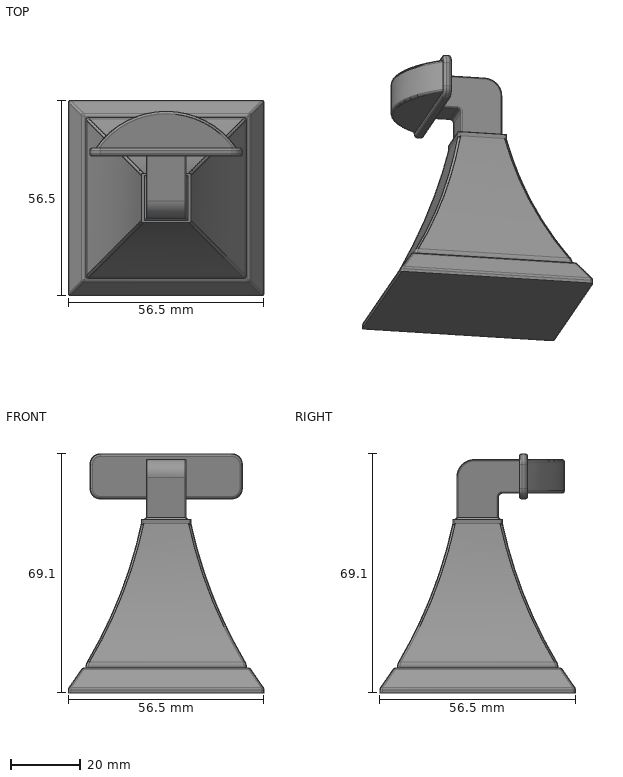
import cadquery as cq
import math

base_width = 56.49
base_corner_z = 1.3
plinth_top_half = 24.1
plinth_top_z = 7.3
band_half = 23.2
band_top_z = 8.28
collar_half = 7.15
collar_bottom_z = 49.0
collar_top_z = 50.2
flare_sagitta = 1.8
foot_round = 1.4
plinth_round = 1.2
band_round = 2.9
pedestal_edge_round = 0.7
collar_edge_round = 0.4

overall_height = 69.13
plate_width = 44.0
plate_height = 13.0
plate_front_y = 12.1
plate_thickness = 2.3
plate_corner_radius = 3.0
plate_edge_round = 0.7

arm_width = 11.5
arm_depth = 12.0
arm_height = 9.7
bend_outer_radius = 5.1
bend_inner_radius = 1.2
arm_edge_round = 0.4
neck_foot = 0.5
pad_half_width = 20.3
pad_depth = 10.65
pad_edge_round = 0.7

selection_margin = 0.01

base_half = base_width / 2
plate_center_z = overall_height - plate_height / 2
plate_back_y = plate_front_y + plate_thickness
arm_bottom_z = plate_center_z - arm_height / 2
arm_top_z = plate_center_z + arm_height / 2


def flare_midpoint():
    """Middle of the concave arc between the band and the collar."""
    run = band_half - collar_half
    rise = collar_bottom_z - band_top_z
    chord = math.hypot(run, rise)
    x = (band_half + collar_half) / 2 - flare_sagitta * rise / chord
    z = (band_top_z + collar_bottom_z) / 2 - flare_sagitta * run / chord
    return x, z


def pedestal_silhouette(plane):
    """Symmetric pedestal outline extruded through the full base width."""
    mid_x, mid_z = flare_midpoint()
    outline = (
        cq.Workplane(plane)
        .moveTo(base_half, 0)
        .lineTo(base_half, base_corner_z)
        .lineTo(plinth_top_half, plinth_top_z)
        .lineTo(band_half, plinth_top_z)
        .lineTo(band_half, band_top_z)
        .threePointArc((mid_x, mid_z), (collar_half, collar_bottom_z))
        .lineTo(collar_half, collar_top_z)
        .lineTo(-collar_half, collar_top_z)
        .lineTo(-collar_half, collar_bottom_z)
        .threePointArc((-mid_x, mid_z), (-band_half, band_top_z))
        .lineTo(-band_half, plinth_top_z)
        .lineTo(-plinth_top_half, plinth_top_z)
        .lineTo(-base_half, base_corner_z)
        .lineTo(-base_half, 0)
        .close()
    )
    return outline.extrude(base_half, both=True)


def edges_within(half, bottom_z, top_z):
    """Selector for edges lying wholly inside a centred square block."""
    reach = half + selection_margin
    low_corner = (-reach, -reach, bottom_z - selection_margin)
    high_corner = (reach, reach, top_z + selection_margin)
    return cq.selectors.BoxSelector(low_corner, high_corner, boundingbox=True)


def square_rim(half, z):
    """Selector for the four straight edges of a square rim at one height."""
    return edges_within(half, z, z)


def corner_edges(bottom_z, top_z):
    """Selector for the corner edges that climb between two heights."""
    horizontal = cq.selectors.PerpendicularDirSelector(cq.Vector(0, 0, 1))
    return edges_within(base_half, bottom_z, top_z) - horizontal


def make_pedestal():
    body = pedestal_silhouette("XZ").intersect(pedestal_silhouette("YZ"))
    plinth_rim = square_rim(plinth_top_half, plinth_top_z) - square_rim(band_half, plinth_top_z)
    body = body.edges(square_rim(base_half, base_corner_z)).fillet(foot_round)
    body = body.edges(plinth_rim).fillet(plinth_round)
    body = body.edges(square_rim(band_half, band_top_z)).fillet(band_round)
    body = body.edges(corner_edges(collar_bottom_z, collar_top_z)).fillet(collar_edge_round)
    body = body.edges(corner_edges(0, plinth_top_z)).fillet(pedestal_edge_round)
    return body.edges(corner_edges(plinth_top_z, collar_bottom_z)).fillet(pedestal_edge_round)


def make_arm():
    """Neck rising from the collar and bending back into the plate."""
    half_depth = arm_depth / 2
    outline = (
        cq.Workplane("YZ")
        .moveTo(-half_depth, collar_top_z)
        .lineTo(-half_depth, arm_top_z)
        .lineTo(plate_back_y, arm_top_z)
        .lineTo(plate_back_y, arm_bottom_z)
        .lineTo(half_depth, arm_bottom_z)
        .lineTo(half_depth, collar_top_z)
        .close()
    )
    arm = outline.extrude(arm_width / 2, both=True)
    arm = arm.edges(cq.NearestToPointSelector((0, -half_depth, arm_top_z))).fillet(bend_outer_radius)
    arm = arm.edges(cq.NearestToPointSelector((0, half_depth, arm_bottom_z))).fillet(bend_inner_radius)
    return arm.edges("not (|X or <Z or >Y)").fillet(arm_edge_round)


def make_neck_foot():
    """Small sloped skirt where the neck lands on the collar."""
    return (
        cq.Workplane("XY", origin=(0, 0, collar_top_z))
        .rect(arm_width + 2 * neck_foot, arm_depth + 2 * neck_foot)
        .workplane(offset=neck_foot)
        .rect(arm_width, arm_depth)
        .loft(ruled=True)
        .edges("not #Z")
        .fillet(arm_edge_round)
    )


def make_plate():
    plate = (
        cq.Workplane("XZ", origin=(0, plate_front_y, plate_center_z))
        .rect(plate_width, plate_height)
        .extrude(-plate_thickness)
        .edges("|Y")
        .fillet(plate_corner_radius)
    )
    return plate.faces("<Y or >Y").edges().fillet(plate_edge_round)


def make_pad():
    """Bow-shaped pad behind the plate, rounded along its top and bottom arcs."""
    pad = (
        cq.Workplane("XY", origin=(0, plate_back_y, arm_bottom_z))
        .moveTo(-pad_half_width, 0)
        .threePointArc((0, pad_depth), (pad_half_width, 0))
        .close()
        .extrude(arm_height)
    )
    return pad.edges("%CIRCLE").fillet(pad_edge_round)


result = make_pedestal()
for member in (make_neck_foot(), make_arm(), make_plate(), make_pad()):
    result = result.union(member)